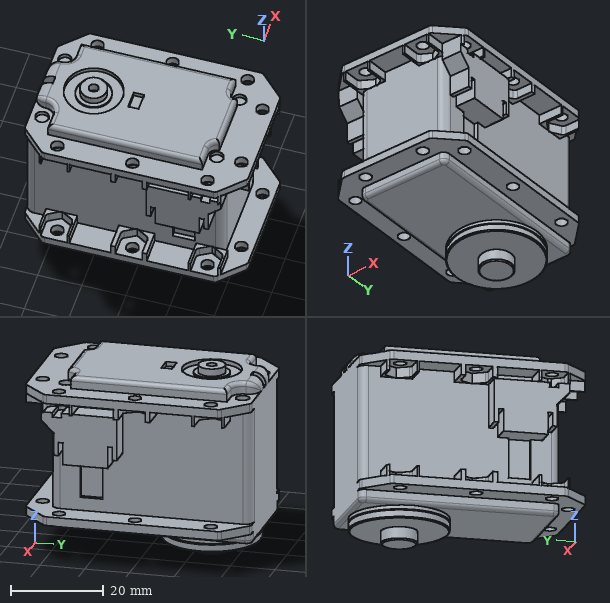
import cadquery as cq
import math


END_Y = 12.0
CASE_WIDTH = 23.5
CASE_LENGTH = 45.05
CASE_CORNER_RADIUS = 2.0
CAP_HEIGHT = 2.65
CAP_CORNER_RADIUS = 1.5
CAP_EDGE_FILLET = 1.0
COLLAR_RADIUS = 11.05
COLLAR_HEIGHT = 0.85

FLANGE_WIDTH = 35.6
FLANGE_LENGTH = 50.6
FLANGE_THICKNESS = 2.0
FLANGE_CHAMFER = 5.65
FLANGE_CORNER_RADIUS = 1.15
LOWER_FLANGE_Z = CAP_HEIGHT
UPPER_FLANGE_Z = 30.65
UPPER_FLANGE_TOP = UPPER_FLANGE_Z + FLANGE_THICKNESS

HOLE_DIAMETER = 2.8
SIDE_HOLE_X = 15.05
SIDE_HOLE_PITCH = 17.0
FIRST_SIDE_HOLE_Y = 3.7
SIDE_HOLE_YS = [FIRST_SIDE_HOLE_Y - i * SIDE_HOLE_PITCH for i in range(3)]
END_HOLE_X = 7.9
END_HOLE_Y = -35.8

TAB_HEIGHT = 2.35
TAB_WIDTH = 7.1
MIDDLE_TAB_WIDTH = 8.15
SIDE_TAB_WIDTHS = [TAB_WIDTH, MIDDLE_TAB_WIDTH, TAB_WIDTH]
END_TAB_X = 8.15
NUT_WIDTH = 6.05
NUT_APEX = NUT_WIDTH / math.sqrt(3)
NUT_CORNER_RADIUS = 1.0
NUT_SLOT_REACH = 5.05

BLOCK_HALF_SPAN = 16.8
BLOCK_TOP = UPPER_FLANGE_Z - TAB_HEIGHT
BLOCK_REAR_Y = -16.95
BLOCK_LEG_Y = -31.0
BLOCK_LIP_Y = SIDE_HOLE_YS[2] - TAB_WIDTH / 2
BLOCK_LIP_BOTTOM = 26.35
BLOCK_SLOPE_BOTTOM = 23.55
BLOCK_LEG_BOTTOM = 18.55
BLOCK_PLUG_BOTTOM = 16.6
BLOCK_LEG_WIDTH = 1.0
BLOCK_SLOT_WIDTH = 1.0
BLOCK_SLOT_TOP = 21.55
RELIEF_WIDTH = 2.0
RELIEF_DEPTH = 1.0
WIRE_RECESS_WIDTH = 5.0
WIRE_RECESS_Y = -23.95
WIRE_RECESS_BOTTOM = 7.65
WIRE_RECESS_DEPTH = 1.0

COVER_HEIGHT = 2.8
COVER_TOP = UPPER_FLANGE_TOP + COVER_HEIGHT
COVER_HALF_WIDTH = 12.5
COVER_NORTH_Y = 6.65
COVER_SOUTH_Y = -28.35
COVER_EDGE_FILLET = 1.0
COVER_END_ROUND = 2.75
TONGUE_X = 0.5
SCREW_SPACING = 17.1
SCREW_RADIUS = 1.5
SCREW_DEPTH = 1.0
NORTH_SCREW_Y = END_Y - COVER_END_ROUND
SOUTH_SCREW_Y = SIDE_HOLE_YS[2]
SLOT_WIDTH = 1.85
SLOT_START_Y = 9.1
WINDOW_WIDTH = 4.2
WINDOW_LENGTH = 2.4
WINDOW_Y = -9.6
WINDOW_DEPTH = 1.0
HUB_POCKET_RADIUS = 6.55
HUB_POCKET_DEPTH = 1.0

HUB_FLANGE_RADIUS = 4.0
HUB_FLANGE_HEIGHT = 0.35
HUB_RADIUS = 3.0
HUB_PROJECTION = 1.0
HUB_BORE_RADIUS = 1.05

HORN_THICKNESS = 1.95
HORN_CHAMFER = 0.25
SHAFT_RADIUS = 4.0
SHAFT_LENGTH = 2.9
SHAFT_CHAMFER = 0.3


def box(x_min, x_max, y_min, y_max, z_min, z_max):
    """Axis-aligned box between the given limits."""
    size = (x_max - x_min, y_max - y_min, z_max - z_min)
    return cq.Workplane("XY").box(*size, centered=False).translate((x_min, y_min, z_min))


def disc(radius, z_min, height):
    """Cylinder on the output axis."""
    return cq.Workplane("XY").workplane(offset=z_min).circle(radius).extrude(height)


def case_block(z_min, z_max, corner_radius):
    """Length of the case with rounded vertical edges."""
    half_width = CASE_WIDTH / 2
    block = box(-half_width, half_width, END_Y - CASE_LENGTH, END_Y, z_min, z_max)
    return block.edges("|Z").fillet(corner_radius)


def make_case():
    cap = case_block(0, CAP_HEIGHT, CAP_CORNER_RADIUS).faces("<Z").edges().fillet(CAP_EDGE_FILLET)
    case = case_block(CAP_HEIGHT, UPPER_FLANGE_TOP, CASE_CORNER_RADIUS)
    collar = disc(COLLAR_RADIUS, -COLLAR_HEIGHT, COLLAR_HEIGHT + CAP_HEIGHT)
    return case.union(cap).union(collar)


def flange_plate(z_min, height):
    """Chamfered plate with the flange outline."""
    half_width = FLANGE_WIDTH / 2
    plate = box(-half_width, half_width, END_Y - FLANGE_LENGTH, END_Y, z_min, z_min + height)
    return plate.edges("|Z").chamfer(FLANGE_CHAMFER).edges("|Z").fillet(FLANGE_CORNER_RADIUS)


def side_tabs(side, z_min):
    """Three tabs between the case and one long flange edge; side is +1 for +X, -1 for -X."""
    tabs = cq.Workplane("XY")
    x_min, x_max = sorted((side * CASE_WIDTH / 2, side * FLANGE_WIDTH / 2))
    for y, width in zip(SIDE_HOLE_YS, SIDE_TAB_WIDTHS):
        tab = box(x_min, x_max, y - width / 2, y + width / 2, z_min, z_min + TAB_HEIGHT)
        tabs = tabs.union(tab)
    return tabs.intersect(flange_plate(z_min, TAB_HEIGHT))


def end_tabs(z_min):
    """Two tabs between the case and the -Y flange edge."""
    tabs = cq.Workplane("XY")
    edge_y = END_Y - FLANGE_LENGTH
    wall_y = END_Y - CASE_LENGTH + CASE_CORNER_RADIUS
    for x in (-END_TAB_X, END_TAB_X):
        tab = box(x - TAB_WIDTH / 2, x + TAB_WIDTH / 2, edge_y, wall_y, z_min, z_min + TAB_HEIGHT)
        tabs = tabs.union(tab)
    return tabs.intersect(flange_plate(z_min, TAB_HEIGHT))


def nut_pocket(x, y, z_min, turn, shift=0):
    """Open nut slot around a hole, pointing to +Y before it is turned about the hole.

    The slot walls are moved sideways by shift while the point stays in line with the hole.
    """
    left = shift - NUT_WIDTH / 2
    right = shift + NUT_WIDTH / 2
    slope = math.tan(math.radians(30))
    pocket = (
        cq.Workplane("XY")
        .polyline([
            (left, -NUT_SLOT_REACH),
            (right, -NUT_SLOT_REACH),
            (right, NUT_APEX - right * slope),
            (0, NUT_APEX),
            (left, NUT_APEX + left * slope),
        ])
        .close()
        .extrude(TAB_HEIGHT)
    )
    for shoulder_x in (left, right):
        shoulder = cq.selectors.NearestToPointSelector((shoulder_x, NUT_APEX / 2, TAB_HEIGHT / 2))
        pocket = pocket.edges("|Z").edges(shoulder).fillet(NUT_CORNER_RADIUS)
    return pocket.rotate((0, 0, 0), (0, 0, 1), turn).translate((x, y, z_min))


def side_nut_pockets(side, z_min):
    pockets = cq.Workplane("XY")
    for y in SIDE_HOLE_YS:
        pockets = pockets.union(nut_pocket(side * SIDE_HOLE_X, y, z_min, side * 90))
    return pockets


def end_nut_pockets(z_min):
    pockets = cq.Workplane("XY")
    for side in (-1, 1):
        shift = side * (END_TAB_X - END_HOLE_X)
        pockets = pockets.union(nut_pocket(side * END_HOLE_X, END_HOLE_Y, z_min, 0, shift))
    return pockets


def flange_holes(z_min):
    points = [(side * SIDE_HOLE_X, y) for side in (-1, 1) for y in SIDE_HOLE_YS]
    points += [(side * END_HOLE_X, END_HOLE_Y) for side in (-1, 1)]
    holes = cq.Workplane("XY").workplane(offset=z_min).pushPoints(points)
    return holes.circle(HOLE_DIAMETER / 2).extrude(FLANGE_THICKNESS)


def connector_blocks():
    """Connector housings on both case sides, as one profile with the case filling its middle."""
    rear_slot_y = BLOCK_REAR_Y - BLOCK_LEG_WIDTH
    plug_rear_y = rear_slot_y - BLOCK_SLOT_WIDTH
    front_slot_y = BLOCK_LEG_Y + BLOCK_LEG_WIDTH
    plug_front_y = front_slot_y + BLOCK_SLOT_WIDTH
    blocks = (
        cq.Workplane("YZ")
        .polyline([
            (BLOCK_REAR_Y, BLOCK_TOP),
            (BLOCK_REAR_Y, BLOCK_LEG_BOTTOM),
            (rear_slot_y, BLOCK_LEG_BOTTOM),
            (rear_slot_y, BLOCK_SLOT_TOP),
            (plug_rear_y, BLOCK_SLOT_TOP),
            (plug_rear_y, BLOCK_PLUG_BOTTOM),
            (plug_front_y, BLOCK_PLUG_BOTTOM),
            (plug_front_y, BLOCK_SLOT_TOP),
            (front_slot_y, BLOCK_SLOT_TOP),
            (front_slot_y, BLOCK_LEG_BOTTOM),
            (BLOCK_LEG_Y, BLOCK_LEG_BOTTOM),
            (BLOCK_LEG_Y, BLOCK_SLOPE_BOTTOM),
            (BLOCK_LIP_Y, BLOCK_LIP_BOTTOM),
            (BLOCK_LIP_Y, BLOCK_TOP),
        ])
        .close()
        .extrude(BLOCK_HALF_SPAN, both=True)
    )
    hole_y = SIDE_HOLE_YS[2]
    relief = box(
        -BLOCK_HALF_SPAN, BLOCK_HALF_SPAN,
        hole_y - RELIEF_WIDTH / 2, hole_y + RELIEF_WIDTH / 2,
        BLOCK_TOP - RELIEF_DEPTH, BLOCK_TOP,
    )
    lip_gap = box(
        -CASE_WIDTH / 2, CASE_WIDTH / 2,
        BLOCK_LIP_Y, END_Y - CASE_LENGTH + CASE_CORNER_RADIUS,
        BLOCK_LEG_BOTTOM, BLOCK_TOP,
    )
    return blocks.cut(relief).cut(lip_gap)


def wire_recesses():
    """Shallow wire exits in the case sides below the connector blocks."""
    recesses = cq.Workplane("XY")
    for side in (-1, 1):
        wall_x = side * CASE_WIDTH / 2
        x_min, x_max = sorted((wall_x, wall_x - side * WIRE_RECESS_DEPTH))
        recess = box(
            x_min, x_max,
            WIRE_RECESS_Y - WIRE_RECESS_WIDTH / 2, WIRE_RECESS_Y + WIRE_RECESS_WIDTH / 2,
            WIRE_RECESS_BOTTOM, BLOCK_PLUG_BOTTOM,
        )
        recesses = recesses.union(recess)
    return recesses


def cover_blank():
    """Cover with a tongue at each end, clear of the screws, and softened top edges."""
    left_screw_x = TONGUE_X - SCREW_SPACING / 2
    right_screw_x = TONGUE_X + SCREW_SPACING / 2
    north_clearance = NORTH_SCREW_Y - COVER_NORTH_Y
    south_clearance = COVER_SOUTH_Y - SOUTH_SCREW_Y
    left_tongue_x = left_screw_x + north_clearance
    right_tongue_x = right_screw_x - north_clearance
    blank = (
        cq.Workplane("XY")
        .workplane(offset=UPPER_FLANGE_TOP)
        .moveTo(-COVER_HALF_WIDTH, COVER_SOUTH_Y)
        .lineTo(-COVER_HALF_WIDTH, COVER_NORTH_Y)
        .lineTo(left_screw_x, COVER_NORTH_Y)
        .radiusArc((left_tongue_x, NORTH_SCREW_Y), -north_clearance)
        .radiusArc((left_tongue_x + COVER_END_ROUND, END_Y), COVER_END_ROUND)
        .lineTo(right_tongue_x - COVER_END_ROUND, END_Y)
        .radiusArc((right_tongue_x, NORTH_SCREW_Y), COVER_END_ROUND)
        .radiusArc((right_screw_x, COVER_NORTH_Y), -north_clearance)
        .lineTo(COVER_HALF_WIDTH, COVER_NORTH_Y)
        .lineTo(COVER_HALF_WIDTH, COVER_SOUTH_Y)
        .lineTo(right_screw_x, COVER_SOUTH_Y)
        .radiusArc((right_screw_x - south_clearance, SOUTH_SCREW_Y), -south_clearance)
        .lineTo(left_screw_x + south_clearance, SOUTH_SCREW_Y)
        .radiusArc((left_screw_x, COVER_SOUTH_Y), -south_clearance)
        .close()
        .extrude(COVER_HEIGHT)
    )
    blank = blank.intersect(end_round())
    top_edges = blank.faces(">Z").edges("not (|X and >Y)")
    tongue_edges = blank.edges("%BSPLINE")
    return top_edges.add(tongue_edges).fillet(COVER_EDGE_FILLET)


def end_round():
    """Region under the quarter-round that carries the cover top into its +Y end."""
    region = box(
        -COVER_HALF_WIDTH, COVER_HALF_WIDTH,
        SOUTH_SCREW_Y, END_Y,
        UPPER_FLANGE_TOP, COVER_TOP,
    )
    return region.edges("|X and >Y and >Z").fillet(COVER_END_ROUND)


def make_cover():
    slot = box(
        TONGUE_X - SLOT_WIDTH / 2, TONGUE_X + SLOT_WIDTH / 2,
        SLOT_START_Y, END_Y, UPPER_FLANGE_TOP, COVER_TOP,
    )
    window = box(
        -WINDOW_WIDTH / 2, WINDOW_WIDTH / 2,
        WINDOW_Y - WINDOW_LENGTH / 2, WINDOW_Y + WINDOW_LENGTH / 2,
        COVER_TOP - WINDOW_DEPTH, COVER_TOP,
    )
    hub_pocket = disc(HUB_POCKET_RADIUS, COVER_TOP - HUB_POCKET_DEPTH, HUB_POCKET_DEPTH)
    return cover_blank().cut(slot).cut(window).cut(hub_pocket)


def screw_pockets():
    points = [
        (TONGUE_X + side * SCREW_SPACING / 2, y)
        for side in (-1, 1)
        for y in (NORTH_SCREW_Y, SOUTH_SCREW_Y)
    ]
    pockets = cq.Workplane("XY").workplane(offset=UPPER_FLANGE_TOP).pushPoints(points)
    return pockets.circle(SCREW_RADIUS).extrude(-SCREW_DEPTH)


def make_housing():
    upper_tab_z = UPPER_FLANGE_Z - TAB_HEIGHT
    lower_tab_z = LOWER_FLANGE_Z + FLANGE_THICKNESS
    housing = make_case()
    for z_min in (LOWER_FLANGE_Z, UPPER_FLANGE_Z):
        housing = housing.union(flange_plate(z_min, FLANGE_THICKNESS)).cut(flange_holes(z_min))
    for side, z_min in ((-1, lower_tab_z), (-1, upper_tab_z), (1, upper_tab_z)):
        housing = housing.union(side_tabs(side, z_min)).cut(side_nut_pockets(side, z_min))
    housing = housing.union(end_tabs(upper_tab_z)).cut(end_nut_pockets(upper_tab_z))
    housing = housing.union(connector_blocks()).cut(wire_recesses())
    return housing.cut(screw_pockets()).union(make_cover())


def make_bearing_hub():
    base_z = COVER_TOP - HUB_POCKET_DEPTH
    height = HUB_POCKET_DEPTH + HUB_PROJECTION
    hub = disc(HUB_FLANGE_RADIUS, base_z, HUB_FLANGE_HEIGHT).union(disc(HUB_RADIUS, base_z, height))
    return hub.cut(disc(HUB_BORE_RADIUS, base_z, height))


def make_output_horn():
    plate = disc(COLLAR_RADIUS, -COLLAR_HEIGHT, -HORN_THICKNESS).edges().chamfer(HORN_CHAMFER)
    shaft = disc(SHAFT_RADIUS, -COLLAR_HEIGHT - HORN_THICKNESS, -SHAFT_LENGTH)
    return plate.union(shaft.faces("<Z").edges().chamfer(SHAFT_CHAMFER))


housing = make_housing()
bearing_hub = make_bearing_hub()
output_horn = make_output_horn()

result = cq.Compound.makeCompound([housing.val(), bearing_hub.val(), output_horn.val()])